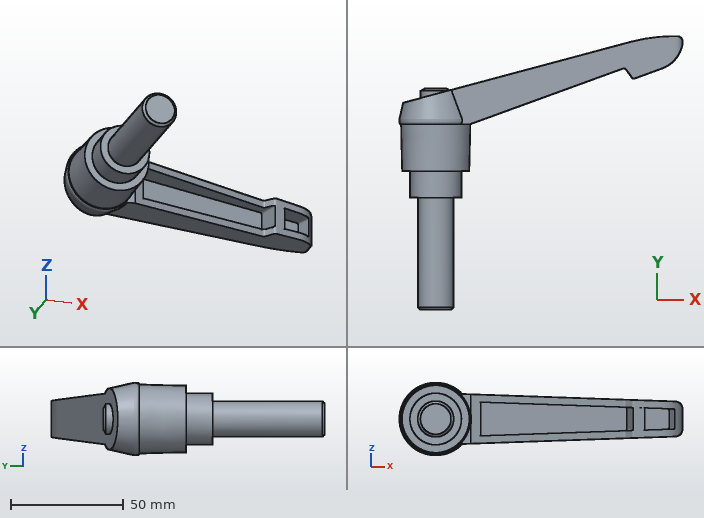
import cadquery as cq
import math


stud_radius = 16.0 / 2
stud_length = 50.0
stud_chamfer = 1.2
collar_radius = 23.0 / 2
collar_height = 11.8

skirt_bottom_radius = 15.0
skirt_top_radius = 15.5
skirt_top_y = 32.8
rim_radius = 16.24
rim_lower_radius = 15.8
rim_rounding_height = 1.2
rim_y = skirt_top_y + rim_rounding_height
rim_band = 1.0
cap_bulge_radius = 14.55
cap_bulge_y = 42.3
cap_top_radius = 13.0
cap_top_y = 49.5

button_radius = 6.8
button_top_y = 48.65
button_chamfer_radial = 2.0
button_chamfer_height = 1.1

top_slope = math.radians(15)
bottom_slope = math.radians(20)
top_line_y = 46.2
tip_x = 110.01
tip_y = 72.03
top_blend_radius = 75.0
tip_corner_radius = 2.5
tip_side_y = 68.4
nose_start_x = 100.6
nose_mid = (106.5, 61.4)
arm_root_x = 15.6
notch_top_x = 84.2
notch_bottom_x = 87.9
notch_bottom_y = 52.8
notch_fillet = 1.0

axis_half_width = 11.6
side_draft = math.radians(2)
plan_corner_radius = 3.5

pocket_wall = 3.4
pocket_roof = 5.1
pocket_corner_radius = 0.9
pocket_overshoot = 1.0
main_pocket_start_x = 20.0
main_pocket_end_x = 88.1
main_pocket_lean = math.radians(15)
tip_pocket_start_x = 93.0
tip_pocket_end_x = 106.5
tip_pocket_lean = math.radians(19)


def top_y(x):
    return top_line_y + x * math.tan(top_slope)


def root_line_y(x):
    """Underside of the arm between hub and notch."""
    return skirt_top_y + (x - arm_root_x) * math.tan(bottom_slope)


def tip_line_y(x):
    """Underside of the arm between notch and nose."""
    return notch_bottom_y + (x - notch_bottom_x) * math.tan(bottom_slope)


def half_width(x):
    return axis_half_width - x * math.tan(side_draft)


def make_core():
    """Stud, collar, skirt and cap turned about the Y axis."""
    rim_inset = rim_radius - rim_lower_radius
    rounding_radius = (rim_rounding_height**2 + rim_inset**2) / (2 * rim_inset)
    return (
        cq.Workplane("XY")
        .moveTo(0, -stud_length)
        .lineTo(stud_radius - stud_chamfer, -stud_length)
        .lineTo(stud_radius, -stud_length + stud_chamfer)
        .lineTo(stud_radius, 0)
        .lineTo(collar_radius, 0)
        .lineTo(collar_radius, collar_height)
        .lineTo(skirt_bottom_radius, collar_height)
        .lineTo(skirt_top_radius, skirt_top_y)
        .lineTo(rim_lower_radius, skirt_top_y)
        .radiusArc((rim_radius, rim_y), -rounding_radius)
        .lineTo(rim_radius, rim_y + rim_band)
        .threePointArc((cap_bulge_radius, cap_bulge_y), (cap_top_radius, cap_top_y))
        .lineTo(0, cap_top_y)
        .close()
        .revolve(360, (0, 0, 0), (0, 1, 0))
    )


def cut_cap_slope(core):
    """Trim the cap along the sloping top face of the arm."""
    reach = 2 * rim_radius
    cutter = (
        cq.Workplane("XY")
        .polyline([(-reach, top_y(-reach)), (reach, top_y(reach)), (reach, tip_y), (-reach, tip_y)])
        .close()
        .extrude(reach, both=True)
    )
    return core.cut(cutter)


def make_button():
    """Chamfered round button standing through the sloping top of the cap."""
    base_y = skirt_top_y
    shoulder_y = button_top_y - button_chamfer_height
    return (
        cq.Workplane("XY")
        .moveTo(0, base_y)
        .lineTo(button_radius, base_y)
        .lineTo(button_radius, shoulder_y)
        .lineTo(button_radius - button_chamfer_radial, button_top_y)
        .lineTo(0, button_top_y)
        .close()
        .revolve(360, (0, 0, 0), (0, 1, 0))
    )


def make_plan(inset):
    """Tapered plan of the arm, with its two sides moved inward by `inset`."""
    root_half = half_width(0) - inset
    tip_half = half_width(tip_x) - inset
    return (
        cq.Workplane("XZ")
        .polyline([(0, -root_half), (tip_x, -tip_half), (tip_x, tip_half), (0, root_half)])
        .close()
        .extrude(-tip_y)
    )


def make_arm():
    """Side outline of the arm, trimmed to its tapered plan."""
    blend_x = (tip_y - top_line_y) / math.tan(top_slope)
    tangent = top_blend_radius * math.tan(top_slope / 2)
    blend_start_x = blend_x - tangent * math.cos(top_slope)
    side = (
        cq.Workplane("XY")
        .moveTo(0, skirt_top_y)
        .lineTo(arm_root_x, skirt_top_y)
        .lineTo(notch_top_x, root_line_y(notch_top_x))
        .lineTo(notch_bottom_x, notch_bottom_y)
        .lineTo(nose_start_x, tip_line_y(nose_start_x))
        .threePointArc(nose_mid, (tip_x, tip_side_y))
        .lineTo(tip_x, tip_y - tip_corner_radius)
        .radiusArc((tip_x - tip_corner_radius, tip_y), -tip_corner_radius)
        .lineTo(blend_x + tangent, tip_y)
        .radiusArc((blend_start_x, top_y(blend_start_x)), -top_blend_radius)
        .lineTo(0, top_line_y)
        .close()
        .extrude(axis_half_width, both=True)
    )
    notch_corners = cq.selectors.BoxSelector(
        (notch_top_x - notch_fillet, notch_bottom_y - notch_fillet, -notch_fillet),
        (notch_bottom_x + notch_fillet, root_line_y(notch_top_x) + notch_fillet, notch_fillet),
    )
    side = side.edges(notch_corners).fillet(notch_fillet)
    plan = make_plan(0).edges("|Y and >X").fillet(plan_corner_radius)
    return side.intersect(plan)


def floor_point(x, y, lean):
    """Where an end wall starting at (x, y) and leaning back by `lean` meets the pocket floor."""
    floor_y = top_y(x) - pocket_roof / math.cos(top_slope)
    rise = (floor_y - y) / (1 + math.tan(lean) * math.tan(top_slope))
    return (x - rise * math.tan(lean), y + rise)


def make_pocket(start, end, end_lean):
    """Pocket cutter between two points of the underside, walls parallel to the arm sides."""
    start_x, start_y = start
    end_x, end_y = end
    mouth_y = start_y - pocket_overshoot
    profile = (
        cq.Workplane("XY")
        .polyline([
            floor_point(start_x, start_y, top_slope),
            floor_point(end_x, end_y, end_lean),
            (end_x + (end_y - mouth_y) * math.tan(end_lean), mouth_y),
            (start_x + (start_y - mouth_y) * math.tan(top_slope), mouth_y),
        ])
        .close()
        .extrude(axis_half_width, both=True)
    )
    cutter = profile.intersect(make_plan(pocket_wall))
    return cutter.faces(">X").edges(">Z or <Z").fillet(pocket_corner_radius)


main_pocket = make_pocket(
    (main_pocket_start_x, root_line_y(main_pocket_start_x)),
    (main_pocket_end_x, notch_bottom_y),
    main_pocket_lean,
)
tip_pocket = make_pocket(
    (tip_pocket_start_x, tip_line_y(tip_pocket_start_x)),
    (tip_pocket_end_x, nose_mid[1]),
    tip_pocket_lean,
)
arm = make_arm().cut(main_pocket).cut(tip_pocket)
result = cut_cap_slope(make_core()).union(arm).union(make_button())